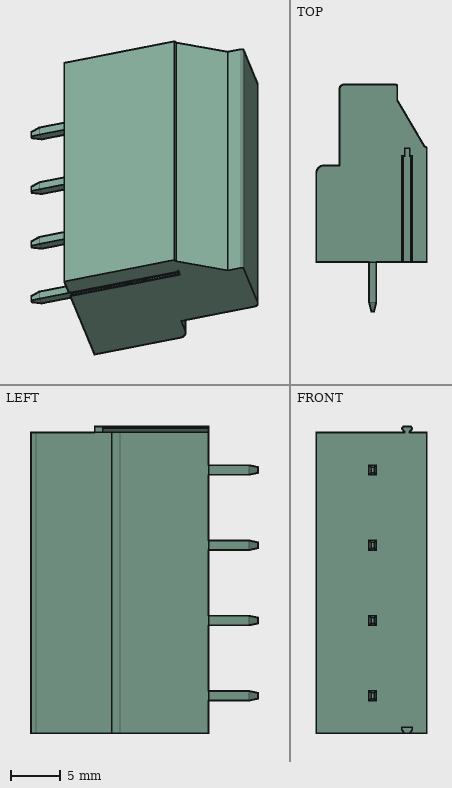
import cadquery as cq

POLES = 4
PITCH = 7.62
HOUSING_HEIGHT = POLES * PITCH
HOUSING_WIDTH = 11.2
HOUSING_DEPTH = 18.0
STEP_WIDTH = 2.35
STEP_Y = 9.8
CREST_X = 8.23
SLOPE_REAR_Y = 16.38
SLOPE_END_X = 10.95
SLOPE_END_Y = 11.75
BEVEL_END_Y = 11.6
STEP_RADIUS = 0.8
CREST_RADIUS_LEFT = 0.5
CREST_RADIUS_RIGHT = 0.25

PIN_X = 5.72
FIRST_PIN_Z = PITCH / 2
PIN_WIDTH = 0.75
PIN_HEIGHT = 1.0
PIN_LENGTH = 5.0
TIP_LENGTH = 0.95
TIP_WIDTH = 0.3
TIP_HEIGHT = 0.6

DOVETAIL_X = 9.2
DOVETAIL_LENGTH = 10.75
RIB_HEIGHT = 0.6
RIB_BASE_WIDTH = 0.5
RIB_WIDTH = 1.1
RIB_TOP_WIDTH = 0.75
RIB_WIDEST_HEIGHT = 0.4
NUB_WIDTH = 0.5
NUB_LENGTH = 0.8
DOVETAIL_OVERALL_LENGTH = DOVETAIL_LENGTH + NUB_LENGTH
GROOVE_DEPTH = 0.65
GROOVE_MOUTH_WIDTH = 0.5
GROOVE_WIDTH = 1.1
GROOVE_WALL_START = 0.4


def make_housing():
    """Stepped housing with its front face on Y = 0 and its bottom on Z = 0."""
    body = (
        cq.Workplane("XY")
        .polyline([
            (0, 0),
            (HOUSING_WIDTH, 0),
            (HOUSING_WIDTH, BEVEL_END_Y),
            (SLOPE_END_X, SLOPE_END_Y),
            (CREST_X, SLOPE_REAR_Y),
            (CREST_X, HOUSING_DEPTH),
            (STEP_WIDTH, HOUSING_DEPTH),
            (STEP_WIDTH, STEP_Y),
            (0, STEP_Y),
        ])
        .close()
        .extrude(HOUSING_HEIGHT)
    )
    rounded_corners = [
        (0, STEP_Y, STEP_RADIUS),
        (STEP_WIDTH, HOUSING_DEPTH, CREST_RADIUS_LEFT),
        (CREST_X, HOUSING_DEPTH, CREST_RADIUS_RIGHT),
    ]
    for x, y, radius in rounded_corners:
        corner_edge = cq.selectors.NearestToPointSelector((x, y, HOUSING_HEIGHT / 2))
        body = body.edges("|Z").edges(corner_edge).fillet(radius)
    return body


def make_dovetail(base_z, widths_and_heights, length):
    """Symmetric section given as (full width, height) pairs, run from Y = 0 toward +Y."""
    right_side = [(width / 2, height) for width, height in widths_and_heights]
    left_side = [(-x, z) for x, z in reversed(right_side)]
    return (
        cq.Workplane("XZ", origin=(DOVETAIL_X, 0, base_z))
        .polyline(right_side + left_side)
        .close()
        .extrude(-length)
    )


def make_rib():
    """Rib with a narrow nub at its rear end."""
    rib_section = [
        (RIB_BASE_WIDTH, 0),
        (RIB_WIDTH, RIB_WIDEST_HEIGHT),
        (RIB_TOP_WIDTH, RIB_HEIGHT),
    ]
    nub_section = [(NUB_WIDTH, 0), (NUB_WIDTH, RIB_HEIGHT)]
    rib = make_dovetail(HOUSING_HEIGHT, rib_section, DOVETAIL_LENGTH)
    nub = make_dovetail(HOUSING_HEIGHT, nub_section, DOVETAIL_OVERALL_LENGTH)
    return rib.union(nub)


def make_groove():
    """Cutter for the groove that receives the rib of a neighbouring block."""
    groove_section = [
        (GROOVE_MOUTH_WIDTH, 0),
        (GROOVE_WIDTH, GROOVE_WALL_START),
        (GROOVE_WIDTH, GROOVE_DEPTH),
    ]
    return make_dovetail(0, groove_section, DOVETAIL_OVERALL_LENGTH)


def make_pin(z):
    """Rectangular pin pointing toward -Y, with a tapered tip."""
    shank_length = PIN_LENGTH - TIP_LENGTH
    front_plane = cq.Workplane("XZ", origin=(PIN_X, 0, z))
    shank = front_plane.rect(PIN_WIDTH, PIN_HEIGHT).extrude(shank_length)
    tip = (
        front_plane.workplane(offset=shank_length)
        .rect(PIN_WIDTH, PIN_HEIGHT)
        .workplane(offset=TIP_LENGTH)
        .rect(TIP_WIDTH, TIP_HEIGHT)
        .loft(ruled=True)
    )
    return shank.union(tip)


result = make_housing().union(make_rib()).cut(make_groove())
for pole in range(POLES):
    result = result.union(make_pin(FIRST_PIN_Z + pole * PITCH))